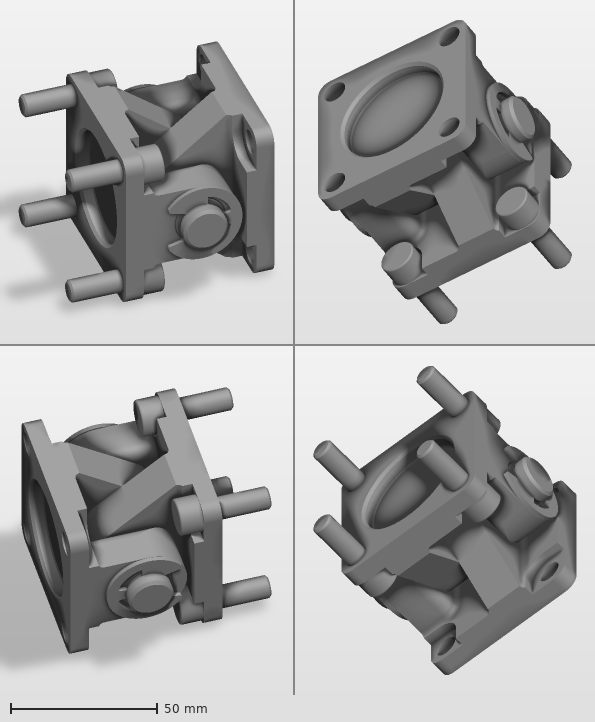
import cadquery as cq
import math


flange_size = 60.0
flange_shift = 0.3
flange_corner = 5.0
face_distance = 27.1
flange_thick = 10.0
root_fillet = 2.0
tolerance = 0.01
root_y = flange_thick - face_distance
half_flange = flange_size / 2

recess_dia = 40.0
recess_depth = 5.0
recess_mouth_chamfer = 1.0
recess_floor_chamfer = 0.5

lug_radius = 14.4
centre_lug_width = 14.4
side_lug_width = 14.6
side_lug_round = 4.0
side_lug_outer_x = flange_shift + half_flange
eye_groove_outer_dia = 19.05
eye_groove_floor_dia = 18.0
eye_groove_inner_dia = 17.6
eye_groove_depth = 0.5

pin_length = 73
pin_dia = 16.0
pin_chamfer = 1.0
groove_dia = 15.0

clip_dia = 29.3
clip_thick = 1.5
clip_gap = 0.3
clip_inner_x = side_lug_outer_x + clip_gap
window_radius = 11.0
window_edge_y = 2.1
tongue_root_half = 2.5
tongue_tip_half = 2.1
window_corner = 0.7
mouth_inner_half = 5.3
mouth_outer_half = 7.8
mouth_corner = 1.0

screw_spacing = 46.5
screw_dia = 8
screw_hole_dia = 8.5
screw_tip_y = -45.55
screw_chamfer = 0.7
head_dia = 13.0
head_height = 7.95
head_round = 0.65
seat_thick = 6.5
seat_dia = 15.0
seat_y = seat_thick - face_distance
screw_points = [
    (flange_shift + i * screw_spacing / 2, k * screw_spacing / 2)
    for i in (-1, 1)
    for k in (-1, 1)
]


def xz_plane(y):
    """Sketch plane at height y whose local axes are X and Z and whose normal is -Y."""
    return cq.Workplane("XZ", origin=(0, y, 0))


def yz_plane(x):
    """Sketch plane at x whose local axes are Y and Z and whose normal is +X."""
    return cq.Workplane("YZ", origin=(x, 0, 0))


def make_flange():
    plate = xz_plane(root_y).center(flange_shift, 0).rect(flange_size, flange_size)
    return plate.extrude(flange_thick).edges("|Y").fillet(flange_corner)


def make_centre_lug():
    """Full-height lug that tapers tangentially onto the round eye of the pin."""
    shoulder_y = root_y + root_fillet
    corner_distance = math.hypot(shoulder_y, half_flange)
    corner_angle = math.atan2(half_flange, shoulder_y)
    tangent_angle = corner_angle - math.acos(lug_radius / corner_distance)
    tangent_y = lug_radius * math.cos(tangent_angle)
    tangent_z = lug_radius * math.sin(tangent_angle)
    return (
        yz_plane(-centre_lug_width)
        .moveTo(root_y, -half_flange)
        .lineTo(shoulder_y, -half_flange)
        .lineTo(tangent_y, -tangent_z)
        .threePointArc((lug_radius, 0), (tangent_y, tangent_z))
        .lineTo(shoulder_y, half_flange)
        .lineTo(root_y, half_flange)
        .close()
        .extrude(centre_lug_width)
    )


def make_side_lug():
    """Round-ended lug, flush with the flange side, rounded along its inner edges."""
    inner_x = side_lug_outer_x - side_lug_width
    bar = (
        xz_plane(root_y)
        .center(inner_x + side_lug_width / 2, 0)
        .rect(side_lug_width, 2 * lug_radius)
        .extrude(root_y - lug_radius)
        .edges("|Y and <X")
        .fillet(side_lug_round)
    )
    profile = (
        yz_plane(inner_x)
        .moveTo(root_y, -lug_radius)
        .lineTo(0, -lug_radius)
        .threePointArc((lug_radius, 0), (0, lug_radius))
        .lineTo(root_y, lug_radius)
        .close()
        .extrude(side_lug_width)
    )
    return bar.intersect(profile)


def make_eye_groove():
    """Cutter for the V-groove that rings the pin on the outer face of the side lug."""
    outline = [
        (side_lug_outer_x, eye_groove_outer_dia / 2),
        (side_lug_outer_x - eye_groove_depth, eye_groove_floor_dia / 2),
        (side_lug_outer_x, eye_groove_inner_dia / 2),
    ]
    return cq.Workplane("XY").polyline(outline).close().revolve(360, (0, 0, 0), (1, 0, 0))


def make_recess():
    """Cutter for the round recess, chamfered at its mouth and at its floor."""
    radius = recess_dia / 2
    outline = [
        (0, 0),
        (radius + recess_mouth_chamfer, 0),
        (radius, recess_mouth_chamfer),
        (radius, recess_depth - recess_floor_chamfer),
        (radius - recess_floor_chamfer, recess_depth),
        (0, recess_depth),
    ]
    face_plane = cq.Workplane("XY", origin=(flange_shift, -face_distance, 0))
    return face_plane.polyline(outline).close().revolve(360, (0, 0, 0), (0, 1, 0))


def make_screw_seat(x, z):
    """Cutter for a corner pocket that is open to both flange sides and round inside."""
    radius = seat_dia / 2
    out_x = math.copysign(radius, x - flange_shift)
    out_z = math.copysign(radius, z)
    diagonal = math.sqrt(0.5)
    return (
        xz_plane(seat_y)
        .moveTo(x + out_x, z + out_z)
        .lineTo(x + out_x, z - out_z)
        .lineTo(x, z - out_z)
        .threePointArc((x - out_x * diagonal, z - out_z * diagonal), (x - out_x, z))
        .lineTo(x - out_x, z + out_z)
        .close()
        .extrude(seat_y - root_y - root_fillet)
    )


def find_lug_roots(body):
    """Edges where the lugs rise from the inner flange face."""
    inside = half_flange - flange_corner / 2
    roots = []
    for edge in body.edges().vals():
        centre = edge.Center()
        on_face = abs(centre.y - root_y) < tolerance
        off_rim = abs(centre.x - flange_shift) < inside and abs(centre.z) < inside
        if on_face and off_rim:
            roots.append(edge)
    return roots


def make_fork():
    body = make_flange().union(make_centre_lug()).union(make_side_lug())
    body = body.newObject(find_lug_roots(body)).fillet(root_fillet)
    body = body.cut(make_recess())
    body = body.cut(yz_plane(-pin_length / 2).circle(pin_dia / 2).extrude(pin_length))
    body = body.cut(make_eye_groove())
    for x, z in screw_points:
        body = body.cut(make_screw_seat(x, z))
    holes = xz_plane(root_y).pushPoints(screw_points).circle(screw_hole_dia / 2)
    return body.cut(holes.extrude(flange_thick))


def make_pin():
    body = yz_plane(-pin_length / 2).circle(pin_dia / 2).extrude(pin_length)
    body = body.faces("<X or >X").chamfer(pin_chamfer)
    for groove_x in (clip_inner_x, -clip_inner_x - clip_thick):
        ring = yz_plane(groove_x).circle(pin_dia / 2).circle(groove_dia / 2)
        body = body.cut(ring.extrude(clip_thick))
    return body


def make_clip_window(side):
    """Cutter for the window between the rear tongue and the upper or lower tongue."""
    tip_y = groove_dia / 2
    window = (
        yz_plane(clip_inner_x)
        .moveTo(window_edge_y, 0)
        .lineTo(tip_y, side * tongue_tip_half)
        .lineTo(window_radius, side * tongue_root_half)
        .lineTo(window_radius, side * window_radius)
        .lineTo(window_edge_y, side * window_radius)
        .close()
        .extrude(clip_thick)
    )
    disc = yz_plane(clip_inner_x).circle(window_radius).extrude(clip_thick)
    window = window.intersect(disc)
    corner = (clip_inner_x, window_radius, side * tongue_root_half)
    return window.edges("|X").edges(cq.NearestToPointSelector(corner)).fillet(window_corner)


def make_clip():
    """E-shaped clip at +X: three tongues sit in the pin groove and the mouth faces -Y."""
    outer_radius = clip_dia / 2
    inner_radius = groove_dia / 2
    mouth_inner_y = -math.sqrt(inner_radius**2 - mouth_inner_half**2)
    mouth = [
        (0, 0),
        (mouth_inner_y, mouth_inner_half),
        (-outer_radius, mouth_outer_half),
        (-outer_radius, -mouth_outer_half),
        (mouth_inner_y, -mouth_inner_half),
    ]
    base = yz_plane(clip_inner_x)
    body = base.circle(outer_radius).extrude(clip_thick)
    body = body.cut(base.polyline(mouth).close().extrude(clip_thick))
    body = body.edges("|X and <Y").fillet(mouth_corner)
    for side in (-1, 1):
        body = body.cut(make_clip_window(side))
    return body.cut(base.circle(inner_radius).extrude(clip_thick))


def make_screw(x, z):
    shank = xz_plane(seat_y).center(x, z).circle(screw_dia / 2).extrude(seat_y - screw_tip_y)
    shank = shank.faces("<Y").chamfer(screw_chamfer)
    head = xz_plane(seat_y).center(x, z).circle(head_dia / 2).extrude(-head_height)
    return shank.union(head.faces(">Y").edges().fillet(head_round))


front_fork = make_fork()
rear_fork = front_fork.rotate((0, 0, 0), (0, 0, 1), 180)
pin = make_pin()
right_clip = make_clip()
left_clip = right_clip.mirror("YZ")
screws = [make_screw(x, z).val() for x, z in screw_points]

result = cq.Compound.makeCompound([
    front_fork.val(),
    rear_fork.val(),
    pin.val(),
    right_clip.val(),
    left_clip.val(),
    *screws,
])